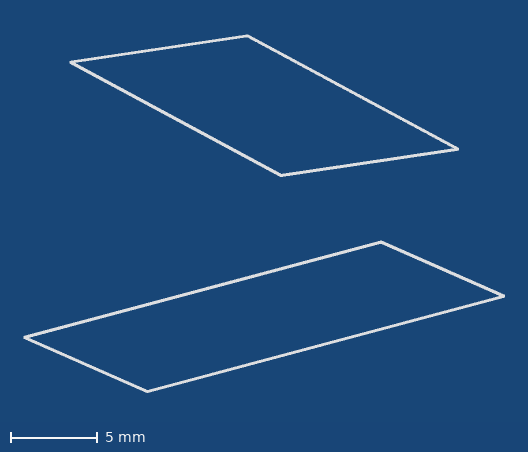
import cadquery as cq

length = 26.0
width = 11.5
thickness = 0.05

result = cq.Workplane("XY").box(length, width, thickness)